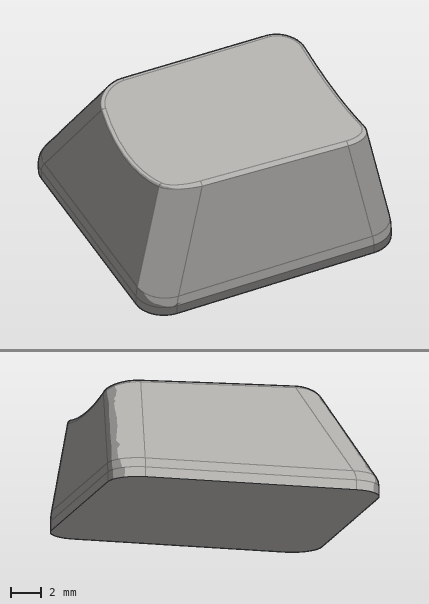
import cadquery as cq
import math

base_size = 18.16
corner_radius = 2.0
skirt_height = 0.65
shoulder_height = 0.64
shoulder_steps = 4
side_angle = 25.6
front_angle = 27.3
back_angle = 4.3

dish_reach = 9.45
dish_half_width = 9.08
front_dish_radius = 12.17
back_dish_radius = 26.33
front_dish_low = 6.17
back_dish_low = 6.41
rim_radius = 0.29

wall_loft_top = 9.08


def wall_inset(angle, z):
    """How far a wall has moved inward at height z: upright, then curving, then straight."""
    rise = max(z - skirt_height, 0)
    if rise < shoulder_height:
        run = rise**2 / (2 * shoulder_height)
    else:
        run = rise - shoulder_height / 2
    return run * math.tan(math.radians(angle))


def wall_section(z):
    """Level rounded outline of the walls at height z."""
    side = wall_inset(side_angle, z)
    front = wall_inset(front_angle, z)
    back = wall_inset(back_angle, z)
    outline = cq.Sketch().rect(base_size - 2 * side, base_size - front - back)
    outline = outline.vertices().fillet(corner_radius)
    return outline.moved(cq.Location(cq.Vector(0, (front - back) / 2, z)))


def wall_body():
    """Upright skirt, curved shoulder and leaning walls, still without a top."""
    shoulder_top = skirt_height + shoulder_height
    shoulder_sections = [
        wall_section(skirt_height + shoulder_height * step / shoulder_steps)
        for step in range(shoulder_steps + 1)
    ]
    skirt = cq.Workplane("XY").placeSketch(wall_section(0)).extrude(skirt_height)
    shoulder = cq.Workplane("XY").placeSketch(*shoulder_sections).loft()
    walls = (
        cq.Workplane("XY")
        .placeSketch(wall_section(shoulder_top), wall_section(wall_loft_top))
        .loft(ruled=True)
    )
    return skirt.union(shoulder).union(walls)


def dish_outline(y, radius, low):
    """Region above a concave arc, on a plane facing Y."""
    edge_z = low + radius - math.sqrt(radius**2 - dish_half_width**2)
    roof_z = 2 * wall_loft_top
    return (
        cq.Workplane("XZ", origin=(0, y, 0))
        .moveTo(-dish_half_width, edge_z)
        .threePointArc((0, low), (dish_half_width, edge_z))
        .lineTo(dish_half_width, roof_z)
        .lineTo(-dish_half_width, roof_z)
        .close()
        .val()
    )


def dish_cutter():
    """Block whose underside blends from the front arc to the back arc."""
    front = dish_outline(-dish_reach, front_dish_radius, front_dish_low)
    back = dish_outline(dish_reach, back_dish_radius, back_dish_low)
    return cq.Workplane(cq.Solid.makeLoft([front, back], True))


dished_body = wall_body().cut(dish_cutter())
dish_face = dished_body.faces(cq.selectors.NearestToPointSelector((0, 0, wall_loft_top)))
result = dish_face.edges().fillet(rim_radius)